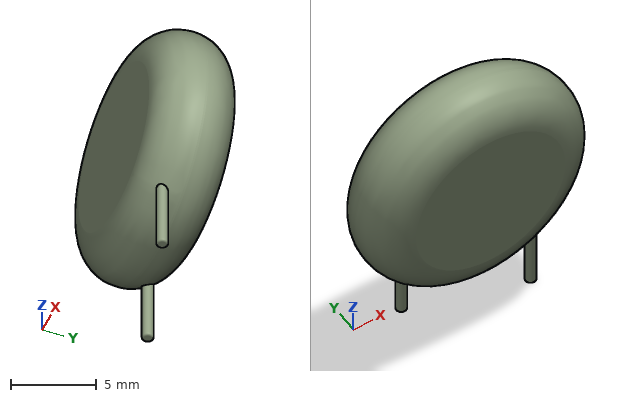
import cadquery as cq

disc_diameter = 15.5
disc_thickness = 5.2
edge_radius = 2.537

lead_diameter = 0.72
lead_pitch_x = 7.5
lead_pitch_y = 2.3
lead_protrusion = 3.03
lead_tip_radius = lead_diameter / 5

lead_bottom_z = -disc_diameter / 2 - lead_protrusion
lead_top_z = -disc_diameter / 4


def make_disc():
    """Round disc with both faces blended into the rim."""
    disc = cq.Workplane("XZ").circle(disc_diameter / 2).extrude(disc_thickness / 2, both=True)
    return disc.edges().fillet(edge_radius)


def make_lead(x, y):
    """Straight wire with a rounded lower tip, reaching up into the disc."""
    wire = (
        cq.Workplane("XY", origin=(x, y, lead_bottom_z))
        .circle(lead_diameter / 2)
        .extrude(lead_top_z - lead_bottom_z)
    )
    return wire.faces("<Z").edges().fillet(lead_tip_radius)


result = make_disc()
for side in (-1, 1):
    lead = make_lead(side * lead_pitch_x / 2, -side * lead_pitch_y / 2)
    result = result.union(lead)